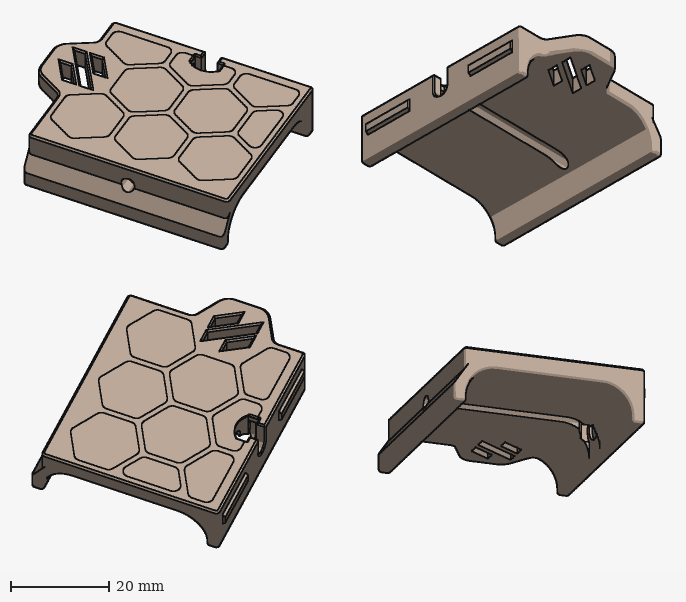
import cadquery as cq
import math

overall_length = 52.9
overall_height = 12.0
back_y = 16.0
front_y = -25.5

hex_pitch = 14.55
hex_flats = 13.35
hex_corner_radius = 1.5
inlay_depth = 0.4
row_pitch = hex_pitch * math.cos(math.radians(30))
field_half_width = hex_pitch + hex_flats / 2
field_back_y = 13.6

side_margin = 1.6
plate_half_width = field_half_width + side_margin
plate_thickness = 4.2
leg_thickness = 2.75
arch_radius = 6.5
front_wall_setback = 2.2
slope_top_depth = 4.95
slope_bottom_depth = 8.25
corner_radius = 0.8
underside_radius = 0.8
top_chamfer = 0.4

tab_center_x = -1.5 * hex_pitch
tab_apothem = overall_length - plate_half_width + tab_center_x
tab_tip_radius = 3.5
tab_root_radius = 1.7

slot_width = 3.3
slot_spacing = 3.9
slot_angle = 33.0
long_slot_height = 9.95
short_slot_height = 5.35
slot_chamfer = 0.35

screw_axis_z = overall_height - 4.45
screw_hole_diameter = 3.0
neck_radius = 1.8
head_radius = 3.15
head_relief_radius = 4.2
seat_y = back_y - 2.05
opening_side_end_y = back_y - 4.45
opening_bulge = 1.3
opening_chamfer = 0.3

rib_length = 11.95
rib_height = 2.95
rib_protrusion = 0.6
rib_spacing = 29.3

front_wall_y = front_y + front_wall_setback
front_leg_inner_y = front_y + leg_thickness
back_leg_inner_y = back_y - leg_thickness
roof_z = overall_height - plate_thickness
opening_front_y = opening_side_end_y - opening_bulge


def hexagon_prism(apothem, x, y, bottom_z, top_z):
    """Upright hexagonal prism with two sides parallel to Y."""
    circumradius = apothem / math.cos(math.radians(30))
    corner_angles = [math.radians(30 + 60 * i) for i in range(6)]
    corners = [(x + circumradius * math.cos(a), y + circumradius * math.sin(a)) for a in corner_angles]
    return cq.Workplane("XY", origin=(0, 0, bottom_z)).polyline(corners).close().extrude(top_z - bottom_z)


def flare(width, length, x, y):
    """Opening in the top face that widens upwards at 45 degrees to chamfer the edges of a rectangle."""
    return (
        cq.Workplane("XY", origin=(x, y, overall_height - opening_chamfer))
        .rect(width, length)
        .extrude(opening_chamfer, taper=-45)
    )




def plan_outline():
    """Prism with the plan shape of the plate and its tab; long in Y so that it trims only in X."""
    tab = hexagon_prism(tab_apothem, tab_center_x, 0, 0, overall_height)
    tab = tab.edges("|Z and <X").fillet(tab_tip_radius)
    plate = cq.Workplane("XY").rect(2 * plate_half_width, 2 * overall_length).extrude(overall_height)
    tab_roots = cq.selectors.BoxSelector(
        (-plate_half_width - 0.55, -2 * tab_apothem, 0),
        (-plate_half_width + 0.55, 2 * tab_apothem, overall_height),
    )
    return plate.union(tab).edges(tab_roots).fillet(tab_root_radius)


def bridge_profile():
    """Cross-section in YZ, a plate on two legs with an arch between them, drawn out along X."""
    arc_offset = arch_radius * (1 - math.cos(math.radians(45)))
    front_arc_mid = (front_leg_inner_y + arc_offset, roof_z - arc_offset)
    back_arc_mid = (back_leg_inner_y - arc_offset, roof_z - arc_offset)
    return (
        cq.Workplane("YZ")
        .moveTo(front_y, 0)
        .lineTo(front_y, overall_height - slope_bottom_depth)
        .lineTo(front_wall_y, overall_height - slope_top_depth)
        .lineTo(front_wall_y, overall_height)
        .lineTo(back_y, overall_height)
        .lineTo(back_y, 0)
        .lineTo(back_leg_inner_y, 0)
        .lineTo(back_leg_inner_y, roof_z - arch_radius)
        .threePointArc(back_arc_mid, (back_leg_inner_y - arch_radius, roof_z))
        .lineTo(front_leg_inner_y + arch_radius, roof_z)
        .threePointArc(front_arc_mid, (front_leg_inner_y, roof_z - arch_radius))
        .lineTo(front_leg_inner_y, 0)
        .close()
        .extrude(overall_length, both=True)
    )


def round_outer_corners(body):
    """Round the upright corners of the front and back faces."""
    corners = []
    for face_y in (front_y, front_wall_y, back_y):
        face_box = cq.selectors.BoxSelector(
            (-overall_length, face_y - 0.05, -0.55), (overall_length, face_y + 0.05, overall_height)
        )
        corners += body.edges("|Z").edges(face_box).vals()
    return body.newObject(corners).fillet(corner_radius)


def round_underside(body):
    """Round the rim of the arch and of the feet, leaving the tangent lines within the arch alone."""
    arch_box = cq.selectors.BoxSelector(
        (-plate_half_width + 0.55, front_leg_inner_y - 0.05, 0.05),
        (plate_half_width - 0.55, back_leg_inner_y + 0.05, roof_z + 0.05),
    )
    arch_rim = body.faces(arch_box).edges("not |X")
    return arch_rim.add(body.faces("<Z").edges()).fillet(underside_radius)


def slanted_slots():
    """Three parallel slanted slots with chamfered top edges: a long one between two short ones."""
    slope = math.tan(math.radians(slot_angle))
    end_shift = (long_slot_height - short_slot_height) / 2
    cutter = cq.Workplane("XY")
    for side, height in ((-1, short_slot_height), (0, long_slot_height), (1, short_slot_height)):
        center_y = side * end_shift
        center_x = tab_center_x + side * slot_spacing - slope * center_y
        lean = slope * height / 2
        corners = [
            (-slot_width / 2 - lean, height / 2),
            (slot_width / 2 - lean, height / 2),
            (slot_width / 2 + lean, -height / 2),
            (-slot_width / 2 + lean, -height / 2),
        ]
        mouth = cq.Workplane("XY", origin=(center_x, center_y, overall_height)).polyline(corners).close()
        cutter = cutter.union(mouth.extrude(-slot_chamfer, taper=45))
        straight = cq.Workplane("XY", origin=(center_x, center_y, 0)).polyline(corners).close()
        cutter = cutter.union(straight.offset2D(-slot_chamfer).extrude(overall_height))
    return cutter


def seat_groove(radius, start_y, end_y, taper=0):
    """Round-bottomed groove on the screw axis, open to the top; a taper narrows it away from its back end."""
    return (
        cq.Workplane("XZ", origin=(0, end_y, 0))
        .moveTo(-radius, 2 * overall_height)
        .lineTo(-radius, screw_axis_z)
        .threePointArc((0, screw_axis_z - radius), (radius, screw_axis_z))
        .lineTo(radius, 2 * overall_height)
        .close()
        .extrude(end_y - start_y, taper=taper)
    )


def screw_neck_groove():
    """Groove through the back wall for the screw neck, chamfered at the back face and the top face."""
    groove = seat_groove(neck_radius, seat_y, back_y)
    back_chamfer = seat_groove(neck_radius + opening_chamfer, back_y - opening_chamfer, back_y, taper=45)
    length = back_y - seat_y
    top_chamfer_cut = flare(2 * neck_radius, length, 0, seat_y + length / 2)
    return groove.union(back_chamfer).union(top_chamfer_cut)


def screw_head_opening():
    """Groove for the screw head, continued by an opening with a bulging front that drops through the roof."""
    groove = seat_groove(head_radius, back_leg_inner_y, seat_y)
    drop = (
        cq.Workplane("XY")
        .moveTo(-head_radius, back_leg_inner_y)
        .lineTo(-head_radius, opening_side_end_y)
        .threePointArc((0, opening_front_y), (head_radius, opening_side_end_y))
        .lineTo(head_radius, back_leg_inner_y)
        .close()
        .extrude(2 * overall_height)
    )
    length = seat_y - opening_side_end_y - opening_chamfer
    top_chamfer_cut = flare(2 * head_radius, length, 0, seat_y - length / 2)
    return groove.union(drop).union(top_chamfer_cut)


def screw_head_relief():
    """Round undercut beneath the sides of the head opening."""
    return (
        cq.Workplane("XZ", origin=(0, back_leg_inner_y, screw_axis_z))
        .circle(head_relief_radius)
        .extrude(back_leg_inner_y - opening_side_end_y)
    )


def screw_seat():
    return screw_neck_groove().union(screw_head_opening()).union(screw_head_relief())


def rib(x):
    """Rib along the back wall with 45 degree flanks."""
    half_base = rib_height / 2
    half_crest = half_base - rib_protrusion
    return (
        cq.Workplane("YZ", origin=(x - rib_length / 2, 0, 0))
        .moveTo(back_y, screw_axis_z - half_base)
        .lineTo(back_y + rib_protrusion, screw_axis_z - half_crest)
        .lineTo(back_y + rib_protrusion, screw_axis_z + half_crest)
        .lineTo(back_y, screw_axis_z + half_base)
        .close()
        .extrude(rib_length)
    )


def make_housing():
    body = bridge_profile().intersect(plan_outline())
    body = round_outer_corners(body)
    body = body.faces(">Z").edges().chamfer(top_chamfer)
    body = round_underside(body)
    for x in (-rib_spacing / 2, rib_spacing / 2):
        body = body.union(rib(x))
    screw_hole = (
        cq.Workplane("XZ", origin=(0, seat_y, screw_axis_z))
        .circle(screw_hole_diameter / 2)
        .extrude(overall_length)
    )
    return body.cut(screw_hole).cut(slanted_slots()).cut(screw_seat())




def make_inlay(x, y):
    """Hexagonal inlay, trimmed to the honeycomb field and with rounded corners."""
    inlay_bottom_z = overall_height - inlay_depth
    tile = hexagon_prism(hex_flats / 2, x, y, inlay_bottom_z, overall_height)
    field = (
        cq.Workplane("XY", origin=(0, field_back_y - overall_length / 2, inlay_bottom_z))
        .rect(2 * field_half_width, overall_length)
        .extrude(inlay_depth)
    )
    return tile.intersect(field).edges("|Z").fillet(hex_corner_radius)


full_row_centers = [(column * hex_pitch, row * row_pitch) for row in (-1, 1) for column in (-1, 0, 1)]
middle_row_centers = [((column + 0.5) * hex_pitch, 0) for column in (-1, 0, 1)]

housing = make_housing()
inlays = []
for center_x, center_y in full_row_centers + middle_row_centers:
    inlay = make_inlay(center_x, center_y).cut(screw_seat())
    housing = housing.cut(inlay)
    inlays += inlay.solids().vals()

result = cq.Compound.makeCompound([housing.solids().val(), *inlays])